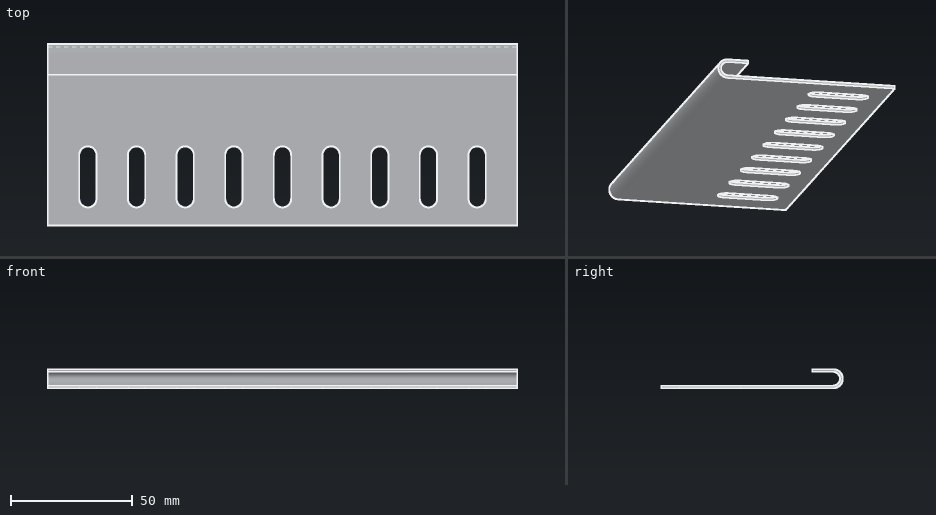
import cadquery as cq

length = 193.0
depth = 74.66
height = 8.0
sheet_thickness = 1.2

bend_outer_radius = height / 2
bend_inner_radius = bend_outer_radius - sheet_thickness
lip_depth = 12.66

slot_count = 9
slot_pitch = 20.0
slot_width = 7.0
slot_length = 25.0
slot_front_margin = 7.5

bend_center_y = depth - bend_outer_radius
bend_center_z = height / 2
lip_front_y = depth - lip_depth
slot_center_y = slot_front_margin + slot_length / 2


def make_hemmed_sheet():
    """Sheet with a half-round hem, extruded along X and centred on X = 0."""
    return (
        cq.Workplane("YZ", origin=(-length / 2, 0, 0))
        .moveTo(0, 0)
        .lineTo(bend_center_y, 0)
        .threePointArc((depth, bend_center_z), (bend_center_y, height))
        .lineTo(lip_front_y, height)
        .lineTo(lip_front_y, height - sheet_thickness)
        .lineTo(bend_center_y, height - sheet_thickness)
        .threePointArc(
            (bend_center_y + bend_inner_radius, bend_center_z),
            (bend_center_y, sheet_thickness),
        )
        .lineTo(0, sheet_thickness)
        .close()
        .extrude(length)
    )


def make_slot_cutters():
    """Round-ended slots, long in Y and evenly spaced in X."""
    return (
        cq.Workplane("XY", origin=(0, slot_center_y, 0))
        .rarray(slot_pitch, 1, slot_count, 1)
        .slot2D(slot_length, slot_width, angle=90)
        .extrude(sheet_thickness)
    )


result = make_hemmed_sheet().cut(make_slot_cutters())